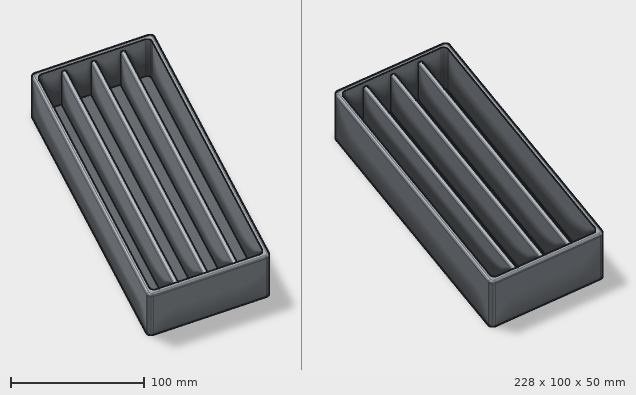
import cadquery as cq

length = 228.0
width = 100.0
height = 50.0
wall = 4.0
corner_radius = 4.0
rim_fillet = 2.0
floor_thickness = wall

cavity_length = length - 2 * wall
cavity_width = width - 2 * wall
cavity_corner_radius = 4.0

divider_count = 3
divider_thickness = 4.0
divider_top = 45.0
compartment_width = (cavity_width - divider_count * divider_thickness) / (divider_count + 1)
divider_pitch = compartment_width + divider_thickness


def rounded_block(size_x, size_y, size_z, radius):
    """Upright block standing on Z = 0, with rounded vertical corners."""
    return (
        cq.Workplane("XY")
        .box(size_x, size_y, size_z, centered=(True, True, False))
        .edges("|Z")
        .fillet(radius)
    )


def make_frame():
    """Four-sided wall, open above and below, with its outer top edge rounded."""
    outside = rounded_block(length, width, height, corner_radius)
    outside = outside.faces(">Z").edges().fillet(rim_fillet)
    cavity = rounded_block(cavity_length, cavity_width, height, cavity_corner_radius)
    return outside.cut(cavity)


def make_floor():
    """Plate that fills the bottom of the frame."""
    return rounded_block(cavity_length, cavity_width, floor_thickness, cavity_corner_radius)


def make_divider(center_y):
    """Lengthwise partition standing on the floor, with a fully rounded crest."""
    half_thickness = divider_thickness / 2
    shoulder = divider_top - half_thickness
    return (
        cq.Workplane("YZ", origin=(-cavity_length / 2, center_y, 0))
        .moveTo(-half_thickness, floor_thickness)
        .lineTo(half_thickness, floor_thickness)
        .lineTo(half_thickness, shoulder)
        .threePointArc((0, divider_top), (-half_thickness, shoulder))
        .close()
        .extrude(cavity_length)
    )


frame = make_frame()
floor = make_floor()

dividers = []
for index in range(divider_count):
    offset = index - (divider_count - 1) / 2
    dividers.append(make_divider(offset * divider_pitch).val())

result = cq.Compound.makeCompound([frame.val(), floor.val(), *dividers])